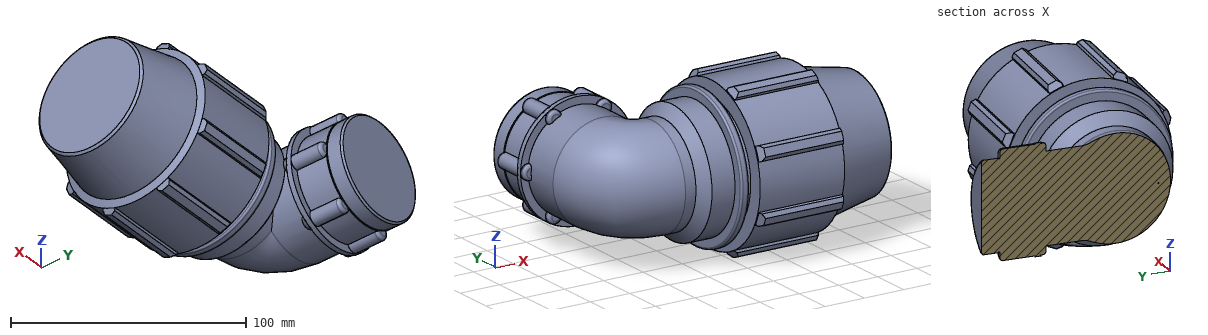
import cadquery as cq
import math


PIPE_RADIUS = 50.64 / 2
BEND_RADIUS = 15.35

BODY_RADIUS = 61.5 / 2
BODY_CONE_START = 20.7
BODY_CONE_END = 25.3
RING_RADIUS = 71.34 / 2
RING_START = 37.0
RING_END = 41.0
RING_FILLET = 0.9

NUT_RADIUS = 38.1
NUT_START = 45.0
NUT_END = 89.2
NUT_CHAMFER_LENGTH = 1.2
CONE_BASE_RADIUS = 34.5
CONE_MID_RADIUS = 31.3
CONE_TIP_RADIUS = 28.4
RUN_END = 119.0
RUN_END_CHAMFER = 1.0

NUT_RIB_COUNT = 8
NUT_RIB_TIP_RADIUS = 40.93
NUT_RIB_EDGE_RADIUS = 39.2
NUT_RIB_BASE_WIDTH = 6.9
NUT_RIB_TIP_WIDTH = 4.0
NUT_RIB_START = NUT_START + 0.4
NUT_RIB_TIP_START = NUT_START + 2.5
NUT_RIB_TIP_END = 87.2
NUT_RIB_END = NUT_END - NUT_CHAMFER_LENGTH
NUT_RIB_ROOT_DEPTH = 3.0

BRANCH_END = 62.0
BRANCH_END_CHAMFER = 0.9
COLLAR_START = 53.85
GROOVE_WIDTH = 0.4
GROOVE_RADIUS = PIPE_RADIUS - 0.3
FLANGE_RADIUS = 58.23 / 2
FLANGE_START = 34.65
FLANGE_END = 37.25
BRANCH_RIB_COUNT = 6
BRANCH_RIB_RADIUS = 3.75
BRANCH_RIB_START = 32.2
BRANCH_RIB_END = COLLAR_START - GROOVE_WIDTH
BRANCH_RIB_FILLET = 1.6
BRANCH_RIB_INSET = 0.05


def run_cylinder(radius, start, end):
    """Cylinder about the X axis between two X positions."""
    return cq.Workplane("YZ").workplane(offset=start).circle(radius).extrude(end - start)


def branch_cylinder(radius, start, end):
    """Cylinder about the Y axis between two Y positions."""
    return cq.Workplane("XZ").workplane(offset=-end).circle(radius).extrude(end - start)


def make_bend():
    """Quarter turn of the pipe section, cut off at the pivot line."""
    chord_half = math.sqrt(PIPE_RADIUS**2 - BEND_RADIUS**2)
    return (
        cq.Workplane("XZ", origin=(0, BEND_RADIUS, 0))
        .moveTo(BEND_RADIUS, -chord_half)
        .threePointArc((-PIPE_RADIUS, 0), (BEND_RADIUS, chord_half))
        .close()
        .revolve(90, (BEND_RADIUS, -1, 0), (BEND_RADIUS, 1, 0))
    )


def make_run():
    """Run pipe, stepped body and large nut as one turned profile."""
    cone_middle = (NUT_END + RUN_END) / 2
    turned = (
        cq.Workplane("XY")
        .moveTo(BEND_RADIUS, 0)
        .lineTo(BEND_RADIUS, PIPE_RADIUS)
        .lineTo(BODY_CONE_START, PIPE_RADIUS)
        .lineTo(BODY_CONE_END, BODY_RADIUS)
        .lineTo(NUT_START, BODY_RADIUS)
        .lineTo(NUT_START, NUT_RADIUS)
        .lineTo(NUT_END - NUT_CHAMFER_LENGTH, NUT_RADIUS)
        .lineTo(NUT_END, CONE_BASE_RADIUS)
        .threePointArc((cone_middle, CONE_MID_RADIUS), (RUN_END, CONE_TIP_RADIUS))
        .lineTo(RUN_END, 0)
        .close()
        .revolve(360, (0, 0, 0), (1, 0, 0))
        .faces(">X").edges().chamfer(RUN_END_CHAMFER)
    )
    ring = run_cylinder(RING_RADIUS, RING_START, RING_END).edges().fillet(RING_FILLET)
    return turned.union(ring)


def make_nut_rib():
    """Rib along X on the +Y side, with chamfered long edges and sloped ends."""
    root_radius = NUT_RADIUS - NUT_RIB_ROOT_DEPTH
    section = (
        cq.Workplane("YZ", origin=(NUT_RIB_START, 0, 0))
        .moveTo(root_radius, -NUT_RIB_BASE_WIDTH / 2)
        .lineTo(NUT_RIB_EDGE_RADIUS, -NUT_RIB_BASE_WIDTH / 2)
        .lineTo(NUT_RIB_TIP_RADIUS, -NUT_RIB_TIP_WIDTH / 2)
        .lineTo(NUT_RIB_TIP_RADIUS, NUT_RIB_TIP_WIDTH / 2)
        .lineTo(NUT_RIB_EDGE_RADIUS, NUT_RIB_BASE_WIDTH / 2)
        .lineTo(root_radius, NUT_RIB_BASE_WIDTH / 2)
        .close()
        .extrude(NUT_RIB_END - NUT_RIB_START)
    )
    side_outline = (
        cq.Workplane("XY")
        .moveTo(NUT_RIB_START, root_radius)
        .lineTo(NUT_RIB_START, NUT_RADIUS)
        .lineTo(NUT_RIB_TIP_START, NUT_RIB_TIP_RADIUS)
        .lineTo(NUT_RIB_TIP_END, NUT_RIB_TIP_RADIUS)
        .lineTo(NUT_RIB_END, NUT_RADIUS)
        .lineTo(NUT_RIB_END, root_radius)
        .close()
        .extrude(NUT_RIB_BASE_WIDTH, both=True)
    )
    return section.intersect(side_outline)


def make_branch():
    """Branch pipe with its flange and a shallow groove behind the end collar."""
    groove_start = COLLAR_START - GROOVE_WIDTH
    pipe = branch_cylinder(PIPE_RADIUS, BEND_RADIUS, groove_start)
    groove_floor = branch_cylinder(GROOVE_RADIUS, groove_start, COLLAR_START)
    collar = branch_cylinder(PIPE_RADIUS, COLLAR_START, BRANCH_END)
    collar = collar.faces(">Y").edges().chamfer(BRANCH_END_CHAMFER)
    flange = branch_cylinder(FLANGE_RADIUS, FLANGE_START, FLANGE_END)
    return pipe.union(groove_floor).union(collar).union(flange)


def make_branch_rib():
    """Round-ended grip rib along Y, on the +X side of the branch."""
    rib = branch_cylinder(BRANCH_RIB_RADIUS, BRANCH_RIB_START, BRANCH_RIB_END)
    rib = rib.edges().fillet(BRANCH_RIB_FILLET)
    return rib.translate((FLANGE_RADIUS - BRANCH_RIB_INSET - BRANCH_RIB_RADIUS, 0, 0))


result = make_bend().union(make_run()).union(make_branch())

nut_rib = make_nut_rib()
nut_rib_pitch = 360 / NUT_RIB_COUNT
for i in range(NUT_RIB_COUNT):
    angle = (i + 0.5) * nut_rib_pitch
    result = result.union(nut_rib.rotate((0, 0, 0), (1, 0, 0), angle))

branch_rib = make_branch_rib()
branch_rib_pitch = 360 / BRANCH_RIB_COUNT
for i in range(BRANCH_RIB_COUNT):
    result = result.union(branch_rib.rotate((0, 0, 0), (0, 1, 0), i * branch_rib_pitch))